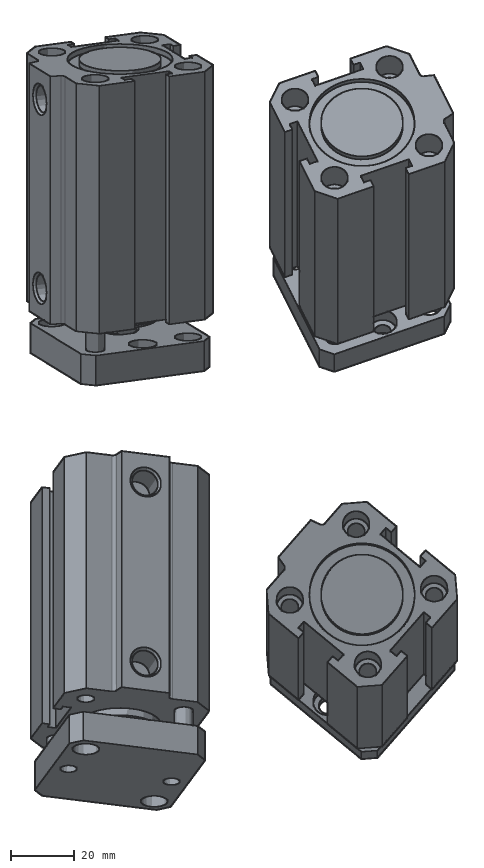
import cadquery as cq


TOTAL_HEIGHT = 99.5
HOUSING_BOTTOM = 17.5
HOUSING_HEIGHT = TOTAL_HEIGHT - HOUSING_BOTTOM

HOUSING_WIDTH = 48.0
HOUSING_HALF = HOUSING_WIDTH / 2
HOUSING_CHAMFER = 5.6

RIB_HEIGHT = 4.1
RIB_FACE_WIDTH = 15.9
RIB_BASE_WIDTH = 18.1
RIB_FILLET = 1.2

SLOT_OPENING = 12.0
SLOT_LIP = 2.6
SLOT_WIDTH = 16.5
SLOT_DEPTH = 5.3

RECESS_DIAMETER = 33.3
ISLAND_DIAMETER = 26.0
RECESS_DEPTH = 1.8

COLLAR_DIAMETER = 26.0
COLLAR_HEIGHT = 3.5
COLLAR_CHAMFER = 1.0

PORT_DIAMETER = 8.6
PORT_CHAMFER = 0.8
PORT_DEPTH = 9.95
PORT_HEIGHTS = (27.3, 89.7)

CORNER_OFFSET = 16.2
BOLT_CORNERS = [(CORNER_OFFSET, CORNER_OFFSET), (-CORNER_OFFSET, -CORNER_OFFSET)]
GUIDE_CORNERS = [(-CORNER_OFFSET, CORNER_OFFSET), (CORNER_OFFSET, -CORNER_OFFSET)]
CORNER_HOLE_DIAMETER = 5.5
CORNER_BORE_DIAMETER = 8.5
CORNER_BORE_DEPTH = 9.95

PLATE_WIDTH = 45.0
PLATE_THICKNESS = 9.95
PLATE_CHAMFER = 3.6
SCREW_OFFSET = 17.0
SCREW_HOLE_DIAMETER = 5.3
SCREW_HEAD_DIAMETER = 9.0
SCREW_HEAD_DEPTH = 5.5

ROD_ENGAGEMENT = 49.75
ROD_TOP = HOUSING_BOTTOM + ROD_ENGAGEMENT
ROD_LENGTH = ROD_TOP - PLATE_THICKNESS
GUIDE_ROD_DIAMETER = 6.0
PISTON_ROD_DIAMETER = 12.0
PISTON_ROD_FLATS = 10.0
FLATS_HEIGHT = 3.1
ROD_CHAMFER = 0.5


def cylinders(diameter, length, bottom, places=((0, 0),)):
    """Upright cylinders standing at the height `bottom`."""
    return (
        cq.Workplane("XY", origin=(0, 0, bottom))
        .pushPoints(places)
        .circle(diameter / 2)
        .extrude(length)
    )


def make_rib():
    """Tapered rib that carries the ports, reaching into the housing core."""
    face_y = -HOUSING_HALF - RIB_HEIGHT
    return (
        cq.Workplane("XY", origin=(0, 0, HOUSING_BOTTOM))
        .moveTo(-RIB_BASE_WIDTH / 2, -HOUSING_HALF)
        .lineTo(-RIB_FACE_WIDTH / 2, face_y)
        .lineTo(RIB_FACE_WIDTH / 2, face_y)
        .lineTo(RIB_BASE_WIDTH / 2, -HOUSING_HALF)
        .lineTo(RIB_BASE_WIDTH / 2, 0)
        .lineTo(-RIB_BASE_WIDTH / 2, 0)
        .close()
        .extrude(HOUSING_HEIGHT)
    )


def make_t_slot():
    """Full-height T-slot cutter for the +Y face."""
    opening = (
        cq.Workplane("XY", origin=(0, HOUSING_HALF - SLOT_DEPTH / 2, HOUSING_BOTTOM))
        .rect(SLOT_OPENING, SLOT_DEPTH)
        .extrude(HOUSING_HEIGHT)
    )
    groove_height = SLOT_DEPTH - SLOT_LIP
    groove_y = HOUSING_HALF - SLOT_DEPTH + groove_height / 2
    groove = (
        cq.Workplane("XY", origin=(0, groove_y, HOUSING_BOTTOM))
        .rect(SLOT_WIDTH, groove_height)
        .extrude(HOUSING_HEIGHT)
    )
    return opening.union(groove)


def make_port(height):
    """Blind port cutter entering from the rib face, with a countersunk mouth."""
    mouth = cq.Workplane("XZ", origin=(0, -HOUSING_HALF - RIB_HEIGHT, height))
    hole = mouth.circle(PORT_DIAMETER / 2).extrude(-PORT_DEPTH)
    countersink = (
        mouth.circle(PORT_DIAMETER / 2 + PORT_CHAMFER)
        .workplane(offset=-PORT_CHAMFER)
        .circle(PORT_DIAMETER / 2)
        .loft()
    )
    return hole.union(countersink)


def make_housing():
    core = (
        cq.Workplane("XY", origin=(0, 0, HOUSING_BOTTOM))
        .rect(HOUSING_WIDTH, HOUSING_WIDTH)
        .extrude(HOUSING_HEIGHT)
        .edges("|Z")
        .chamfer(HOUSING_CHAMFER)
    )
    body = core.union(make_rib())

    for side in (-1, 1):
        foot = cq.selectors.NearestToPointSelector(
            (side * RIB_BASE_WIDTH / 2, -HOUSING_HALF, HOUSING_BOTTOM + HOUSING_HEIGHT / 2)
        )
        body = body.edges(foot).fillet(RIB_FILLET)

    t_slot = make_t_slot()
    for angle in (-90, 0, 90):
        body = body.cut(t_slot.rotate((0, 0, 0), (0, 0, 1), angle))

    recess_floor = TOTAL_HEIGHT - RECESS_DEPTH
    recess = cylinders(RECESS_DIAMETER, RECESS_DEPTH, recess_floor)
    island = cylinders(ISLAND_DIAMETER, RECESS_DEPTH, recess_floor)
    body = body.cut(recess.cut(island))

    collar = cylinders(COLLAR_DIAMETER, COLLAR_HEIGHT, HOUSING_BOTTOM - COLLAR_HEIGHT)
    body = body.union(collar.faces("<Z").chamfer(COLLAR_CHAMFER))

    corners = BOLT_CORNERS + GUIDE_CORNERS
    body = body.cut(cylinders(CORNER_HOLE_DIAMETER, HOUSING_HEIGHT, HOUSING_BOTTOM, corners))
    bore_floor = TOTAL_HEIGHT - CORNER_BORE_DEPTH
    body = body.cut(cylinders(CORNER_BORE_DIAMETER, CORNER_BORE_DEPTH, bore_floor, corners))

    body = body.cut(cylinders(GUIDE_ROD_DIAMETER, ROD_ENGAGEMENT, HOUSING_BOTTOM, GUIDE_CORNERS))
    body = body.cut(cylinders(PISTON_ROD_DIAMETER, ROD_LENGTH, PLATE_THICKNESS))

    for height in PORT_HEIGHTS:
        body = body.cut(make_port(height))
    return body


def make_plate():
    plate = (
        cq.Workplane("XY")
        .rect(PLATE_WIDTH, PLATE_WIDTH)
        .extrude(PLATE_THICKNESS)
        .edges("|Z")
        .chamfer(PLATE_CHAMFER)
    )
    plate = plate.cut(cylinders(CORNER_BORE_DIAMETER, PLATE_THICKNESS, 0, BOLT_CORNERS))
    return (
        plate.faces(">Z")
        .workplane(origin=(0, 0, PLATE_THICKNESS))
        .pushPoints([(-SCREW_OFFSET, 0), (SCREW_OFFSET, 0)])
        .cboreHole(SCREW_HOLE_DIAMETER, SCREW_HEAD_DIAMETER, SCREW_HEAD_DEPTH)
    )


def make_piston_rod():
    """Round rod with a chamfered lower end and two wrench flats facing -X and +X."""
    rod = cylinders(PISTON_ROD_DIAMETER, ROD_LENGTH, PLATE_THICKNESS)
    rod = rod.faces("<Z").chamfer(ROD_CHAMFER)
    flats = (
        cq.Workplane("XY", origin=(0, 0, PLATE_THICKNESS))
        .rect(2 * PISTON_ROD_DIAMETER, PISTON_ROD_DIAMETER)
        .rect(PISTON_ROD_FLATS, PISTON_ROD_DIAMETER)
        .extrude(FLATS_HEIGHT)
    )
    return rod.cut(flats)


def make_carriage():
    guide_rods = cylinders(GUIDE_ROD_DIAMETER, ROD_LENGTH, PLATE_THICKNESS, GUIDE_CORNERS)
    return make_plate().union(make_piston_rod()).union(guide_rods)


housing = make_housing().solids()
carriage = make_carriage().solids()
result = cq.Compound.makeCompound([housing.val(), carriage.val()])